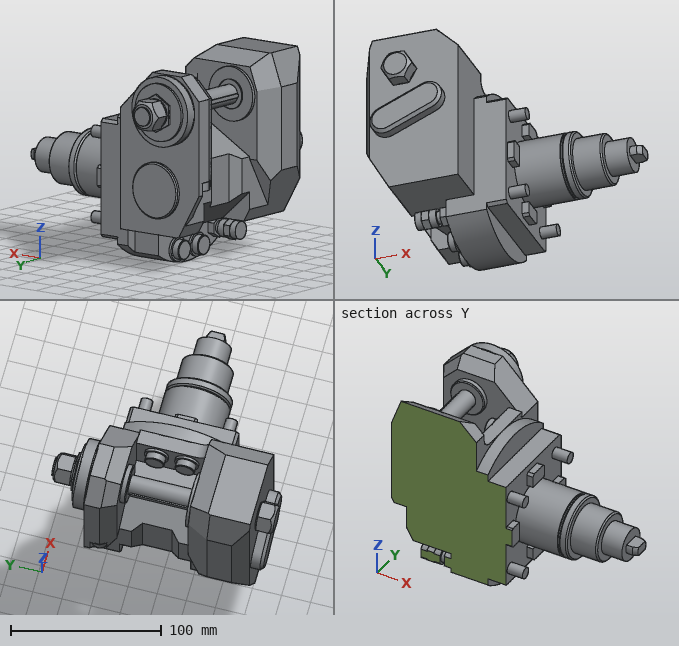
import cadquery as cq
import math


REAR_X = 0.0
BOTTOM_Z = -30.1
INNER_Y = 24.5
BEVEL_ANGLE = 30.0
FRONT_BEVEL_DEPTH = 15.1

MOTOR_ARM_OUTER_Y = -67.2
MOTOR_ARM_TOP_Z = 83.0
MOTOR_ARM_FRONT_X = -68.8
MOTOR_ARM_TOP_BEVEL_DEPTH = 13.7
MOTOR_ARM_OUTER_BEVEL_DEPTH = 10.5
MOTOR_ARM_TOP_FRONT_X = -60.7
MOTOR_ARM_BROW_Z = 60.9
MOTOR_ARM_TOP_REAR_X = -15.3
MOTOR_ARM_SHOULDER_Z = 68.3

SUPPORT_ARM_OUTER_Y = 45.4
SUPPORT_ARM_TOP_Z = 79.4
SUPPORT_ARM_FRONT_X = -66.4
SUPPORT_ARM_FRONT_BEVEL_DEPTH = 10.2
SUPPORT_ARM_BROW_BEVEL_DEPTH = 9.3
SUPPORT_ARM_TOP_BEVEL_DEPTH = 10.5
SUPPORT_ARM_TOP_FRONT_X = -51.4
SUPPORT_ARM_TOP_REAR_X = -27.1

CHIN_Z = 4.5
CHIN_BOTTOM_X = -49.1
CHIN_SLOPE = (CHIN_Z - BOTTOM_Z) / (CHIN_BOTTOM_X - MOTOR_ARM_FRONT_X)

SLOT_X = -60.5
SLOT_Y = 35.9
SLOT_RADIUS = 5.5
SLOT_TOP_Z = 8.6
PLUG_BOTTOM_Z = 2.6

WEB_FRONT_X = -54.0
WEB_FRONT_TOP_Z = 14.3
WEB_FRONT_BOTTOM_Z = -9.5
WEB_FLOOR_Z = 30.3
WEB_TOP_ANGLE = 30.0
WEB_UNDERSIDE_ANGLE = 42.0
SPLAY_TOP_Z = 12.7
SPLAY_ANGLE = 60.0
SADDLE_WIDTH = 32.4
SADDLE_DEPTH = 6.2

SEAT_FRONT_X = -10.0
CORNER_RADIUS = 8.0

FLANGE_RADIUS = 56.8
FLANGE_HALF_WIDTH = 37.3
FLANGE_REAR_X = 9.0
PAD_FRONT_X = -19.9
PAD_LEFT_Y = 29.7
PLATE_REAR_X = 22.9
PLATE_HEIGHT = 80.3
PLATE_CHAMFER = 2.1

BOLT_Y = 10.4
BOLT_Z = 46.8
BOLT_HEAD_RADIUS = 6.7
BOLT_HEAD_LENGTH = 6.9
BOLT_HEAD_CHAMFER = 0.5
BOLT_WASHER_RADIUS = 8.1
BOLT_WASHER_THICKNESS = 1.8
PIN_SPACING = 58.0
PIN_RADIUS = 4.0
PIN_END_X = 34.7
KEY_END_X = 27.6
KEY_WIDTH = 15.1
KEY_INNER_REACH = 25.2
KEY_OUTER_REACH = 35.2
KEY_CHAMFER = 1.8

FITTING_Y = -29.2
FITTING_Z = -37.8
FITTING_FLATS = 12.1
FITTING_NECK_RADIUS = 4.4
FITTING_FRONT_X = -43.0
FITTING_NUT_FRONT_X = -38.2
FITTING_NUT_REAR_X = -33.0
FITTING_NECK_FRONT_X = -28.0
FITTING_BASE_FRONT_X = -25.0

SHANK_RADIUS = 22.5
SHANK_END_X = 55.3
GROOVE_RADIUS = 21.5
GROOVE_END_X = 56.3
RIM_END_X = 62.5
NECK_RADIUS = 17.6
NECK_END_X = 82.9
SHANK_CHAMFER = 1.0
TIP_RADIUS = 11.8
TIP_END_X = 98.7
TANG_END_X = 107.2
TANG_RADIUS = 6.7
TANG_THICKNESS = 6.7
TANG_CHAMFER_LENGTH = 3.5
TANG_CHAMFER_DEPTH = 1.4

ARBOR_X = -40.0
ARBOR_Z = 55.5
ARBOR_RADIUS = 6.7
HEX_FLATS = 19.2
HEX_TIP_RADIUS = 8.1
HEX_CONE_LENGTH = 2.6
BOLT_HEAD_Y = -68.1
BOLT_END_Y = -79.5
NUT_BASE_Y = 59.7
NUT_END_Y = 71.6
STUD_END_Y = 72.9
LOCK_WASHER_FLATS = 22.4
LOCK_WASHER_SIDES_Y = (57.2, 58.5)
BUSHING_FACE_Y = 20.6
BUSHING_RADIUS = 13.0
BUSHING_CHAMFER = 0.7
ARBOR_COLLARS = (
    (BOLT_HEAD_Y, MOTOR_ARM_OUTER_Y, 9.2),
    (-INNER_Y, -22.2, 18.5),
    (-22.2, -21.1, 10.0),
    (SUPPORT_ARM_OUTER_Y, 46.5, 22.9),
    (46.5, 53.9, 23.5),
    (53.9, 55.6, 19.5),
    (55.6, NUT_BASE_Y, 9.9),
    (NUT_END_Y, STUD_END_Y, 6.3),
)
ARBOR_KEY_WIDTH = 2.8
ARBOR_KEY_END_RADIUS = 1.2
ARBOR_KEY_FRONT_X = -47.5
ARBOR_KEY_ENDS_Y = (-20.8, 19.0)

COVER_RADIUS = 10.0
COVER_OUTER_Y = -75.7
COVER_CHAMFER = 2.1
COVER_LOW_END = (-50.0, 18.0)
COVER_HIGH_END = (-19.4, 30.6)
CAP_X = -30.8
CAP_RADIUS = 19.0
CAP_OUTER_Y = 48.0
CAP_CHAMFER = 0.9

FAR = 352.0


def box(x_range, y_range, z_range):
    sizes = [high - low for low, high in (x_range, y_range, z_range)]
    corner = (x_range[0], y_range[0], z_range[0])
    return cq.Workplane("XY").box(*sizes, centered=False).translate(corner)


def cylinder_x(x_start, x_end, radius, y=0.0, z=0.0):
    return cq.Workplane("YZ", origin=(x_start, y, z)).circle(radius).extrude(x_end - x_start)


def cylinder_y(y_start, y_end, radius, x=ARBOR_X, z=ARBOR_Z):
    return cq.Workplane("XZ", origin=(x, y_end, z)).circle(radius).extrude(y_end - y_start)


def cylinder_z(z_start, z_end, radius, x, y):
    return cq.Workplane("XY", origin=(x, y, z_start)).circle(radius).extrude(z_end - z_start)


def hexagon_y(y_start, y_end, across_flats, turn=0.0):
    corner_diameter = across_flats / math.cos(math.radians(30))
    prism = cq.Workplane("XZ").polygon(6, corner_diameter).extrude(y_start - y_end)
    return prism.rotate((0, 0, 0), (0, 1, 0), turn).translate((ARBOR_X, y_start, ARBOR_Z))


def prism_y(points, y_start, y_end):
    return cq.Workplane("XZ", origin=(0, y_end, 0)).polyline(points).close().extrude(y_end - y_start)


def trim(solid, point, normal):
    """Remove everything beyond the plane through point, on the side normal points to."""
    plane = cq.Plane(origin=point, normal=normal)
    return solid.cut(cq.Workplane(plane).rect(2 * FAR, 2 * FAR).extrude(FAR))


def bevel_edge(solid, start, end, face_y, depth):
    """Bevel the edge from start to end, points (x, z) in clockwise order, next to the face at face_y.

    The bevel begins depth short of that face; a positive depth bevels a +Y face.
    """
    length = math.dist(start, end)
    out_x = -(end[1] - start[1]) / length
    out_z = (end[0] - start[0]) / length
    lean = math.radians(BEVEL_ANGLE)
    normal = (out_x * math.cos(lean), math.copysign(math.sin(lean), depth), out_z * math.cos(lean))
    return trim(solid, (start[0], face_y - depth, start[1]), normal)


def chin_z(x):
    return CHIN_Z - CHIN_SLOPE * (x - MOTOR_ARM_FRONT_X)


def motor_arm():
    chin = (MOTOR_ARM_FRONT_X, CHIN_Z)
    brow = (MOTOR_ARM_FRONT_X, MOTOR_ARM_BROW_Z)
    top_front = (MOTOR_ARM_TOP_FRONT_X, MOTOR_ARM_TOP_Z)
    top_rear = (MOTOR_ARM_TOP_REAR_X, MOTOR_ARM_TOP_Z)
    rear = [(REAR_X, MOTOR_ARM_SHOULDER_Z), (REAR_X, BOTTOM_Z), (CHIN_BOTTOM_X, BOTTOM_Z)]
    arm = prism_y([chin, brow, top_front, top_rear] + rear, MOTOR_ARM_OUTER_Y, -INNER_Y)
    arm = bevel_edge(arm, chin, brow, -INNER_Y, FRONT_BEVEL_DEPTH)
    arm = bevel_edge(arm, brow, top_front, -INNER_Y, FRONT_BEVEL_DEPTH)
    arm = bevel_edge(arm, top_front, top_rear, -INNER_Y, MOTOR_ARM_TOP_BEVEL_DEPTH)
    return bevel_edge(arm, chin, brow, MOTOR_ARM_OUTER_Y, -MOTOR_ARM_OUTER_BEVEL_DEPTH)


def support_arm():
    front_drop = SUPPORT_ARM_TOP_FRONT_X - SUPPORT_ARM_FRONT_X
    rear_drop = REAR_X - SUPPORT_ARM_TOP_REAR_X
    chin = (SUPPORT_ARM_FRONT_X, chin_z(SUPPORT_ARM_FRONT_X))
    brow = (SUPPORT_ARM_FRONT_X, SUPPORT_ARM_TOP_Z - front_drop)
    top_front = (SUPPORT_ARM_TOP_FRONT_X, SUPPORT_ARM_TOP_Z)
    top_rear = (SUPPORT_ARM_TOP_REAR_X, SUPPORT_ARM_TOP_Z)
    rear = [(REAR_X, SUPPORT_ARM_TOP_Z - rear_drop), (REAR_X, BOTTOM_Z), (CHIN_BOTTOM_X, BOTTOM_Z)]
    arm = prism_y([chin, brow, top_front, top_rear] + rear, INNER_Y, SUPPORT_ARM_OUTER_Y)
    arm = bevel_edge(arm, chin, brow, INNER_Y, -SUPPORT_ARM_FRONT_BEVEL_DEPTH)
    arm = bevel_edge(arm, brow, top_front, INNER_Y, -SUPPORT_ARM_BROW_BEVEL_DEPTH)
    arm = bevel_edge(arm, top_front, top_rear, INNER_Y, -SUPPORT_ARM_TOP_BEVEL_DEPTH)
    slot_sides = (SLOT_Y - SLOT_RADIUS, SLOT_Y + SLOT_RADIUS)
    arm = arm.cut(box((-FAR, SLOT_X), slot_sides, (BOTTOM_Z, SLOT_TOP_Z)))
    arm = arm.cut(cylinder_z(BOTTOM_Z, SLOT_TOP_Z, SLOT_RADIUS, SLOT_X, SLOT_Y))
    return arm.union(cylinder_z(PLUG_BOTTOM_Z, SLOT_TOP_Z, SLOT_RADIUS, SLOT_X, SLOT_Y))


def splay_cutter():
    """Widening gap between the arms in front of the web."""
    drop = SPLAY_TOP_Z - BOTTOM_Z
    spread = INNER_Y + drop / math.tan(math.radians(SPLAY_ANGLE))
    outline = [(-INNER_Y, SPLAY_TOP_Z), (INNER_Y, SPLAY_TOP_Z), (spread, BOTTOM_Z), (-spread, BOTTOM_Z)]
    return cq.Workplane("YZ", origin=(WEB_FRONT_X, 0, 0)).polyline(outline).close().extrude(-FAR)


def corner_fillet(x_start, floor_z):
    """Concave fillet between a floor and the motor arm's inner face, running to the rear face."""
    return (
        cq.Workplane("YZ", origin=(x_start, 0, 0))
        .moveTo(-INNER_Y, floor_z)
        .lineTo(-INNER_Y + CORNER_RADIUS, floor_z)
        .radiusArc((-INNER_Y, floor_z + CORNER_RADIUS), CORNER_RADIUS)
        .close()
        .extrude(REAR_X - x_start)
    )


def web():
    body = box((WEB_FRONT_X, REAR_X), (-INNER_Y, INNER_Y), (BOTTOM_Z, WEB_FLOOR_Z))
    body = body.union(corner_fillet(WEB_FRONT_X, WEB_FLOOR_Z))
    rise = math.radians(WEB_TOP_ANGLE)
    body = trim(body, (WEB_FRONT_X, 0, WEB_FRONT_TOP_Z), (-math.sin(rise), 0, math.cos(rise)))
    fall = math.radians(WEB_UNDERSIDE_ANGLE)
    body = trim(body, (WEB_FRONT_X, 0, WEB_FRONT_BOTTOM_Z), (-math.sin(fall), 0, -math.cos(fall)))
    mouth = SADDLE_WIDTH / 2
    floor = mouth - SADDLE_DEPTH
    back_x = WEB_FRONT_X + SADDLE_DEPTH
    outline = [(WEB_FRONT_X, -mouth), (back_x, -floor), (back_x, floor), (WEB_FRONT_X, mouth)]
    return body.cut(cq.Workplane("XY").polyline(outline).close().extrude(FAR, both=True))


def seat():
    """Bolting wall between the arms, above the web."""
    wall = box((SEAT_FRONT_X, REAR_X), (-INNER_Y, INNER_Y), (WEB_FLOOR_Z, FLANGE_RADIUS))
    return wall.union(corner_fillet(SEAT_FRONT_X, FLANGE_RADIUS))


def flange():
    sides = box((-FAR, FAR), (-FLANGE_HALF_WIDTH, FLANGE_HALF_WIDTH), (-FAR, FAR))
    disc = cylinder_x(REAR_X, FLANGE_REAR_X, FLANGE_RADIUS).intersect(sides)
    pad_space = box((-FAR, FAR), (-FLANGE_HALF_WIDTH, PAD_LEFT_Y), (-FAR, BOTTOM_Z))
    pad = cylinder_x(PAD_FRONT_X, REAR_X, FLANGE_RADIUS).intersect(pad_space)
    plate = (
        cq.Workplane("YZ", origin=(FLANGE_REAR_X, 0, 0))
        .rect(2 * FLANGE_HALF_WIDTH, PLATE_HEIGHT)
        .extrude(PLATE_REAR_X - FLANGE_REAR_X)
        .edges("|X")
        .chamfer(PLATE_CHAMFER)
    )
    return disc.union(pad).union(plate)


def bolt(face_x, y, z):
    head_x = face_x - BOLT_WASHER_THICKNESS
    washer = cylinder_x(head_x, face_x, BOLT_WASHER_RADIUS, y, z)
    head = cylinder_x(face_x - BOLT_HEAD_LENGTH, head_x, BOLT_HEAD_RADIUS, y, z)
    return washer.union(head.faces("<X").chamfer(BOLT_HEAD_CHAMFER))


def drive_key(turn):
    """Key on the rear of the plate, turned about the shank axis."""
    key = (
        box((PLATE_REAR_X, KEY_END_X), (-KEY_WIDTH / 2, KEY_WIDTH / 2), (KEY_INNER_REACH, KEY_OUTER_REACH))
        .edges("|X and >Z")
        .chamfer(KEY_CHAMFER)
    )
    return key.rotate((0, 0, 0), (1, 0, 0), turn)


def shank():
    body = cylinder_x(PLATE_REAR_X, SHANK_END_X, SHANK_RADIUS)
    body = body.union(cylinder_x(SHANK_END_X, GROOVE_END_X, GROOVE_RADIUS))
    rim = cylinder_x(GROOVE_END_X, RIM_END_X, SHANK_RADIUS)
    body = body.union(rim.faces("<X or >X").chamfer(SHANK_CHAMFER))
    neck = cylinder_x(RIM_END_X, NECK_END_X, NECK_RADIUS)
    body = body.union(neck.faces(">X").chamfer(SHANK_CHAMFER))
    body = body.union(cylinder_x(NECK_END_X, TIP_END_X, TIP_RADIUS))
    tang = cylinder_x(TIP_END_X, TANG_END_X, TANG_RADIUS)
    tang = tang.faces(">X").chamfer(TANG_CHAMFER_LENGTH, TANG_CHAMFER_DEPTH)
    flats = box((TIP_END_X, TANG_END_X), (-FAR, FAR), (-TANG_THICKNESS / 2, TANG_THICKNESS / 2))
    return body.union(tang.intersect(flats))


def fitting():
    def round_part(x_start, x_end, radius):
        return cylinder_x(x_start, x_end, radius, FITTING_Y, FITTING_Z)

    def hex_part(x_start, x_end):
        corner_diameter = FITTING_FLATS / math.cos(math.radians(30))
        prism = cq.Workplane("YZ").polygon(6, corner_diameter).extrude(x_end - x_start)
        return prism.rotate((0, 0, 0), (1, 0, 0), 30).translate((x_start, FITTING_Y, FITTING_Z))

    body = round_part(FITTING_FRONT_X, FITTING_NECK_FRONT_X, FITTING_FLATS / 2)
    body = body.union(hex_part(FITTING_NUT_FRONT_X, FITTING_NUT_REAR_X))
    neck = round_part(FITTING_NECK_FRONT_X, FITTING_BASE_FRONT_X, FITTING_NECK_RADIUS)
    body = body.union(neck)
    return body.union(hex_part(FITTING_BASE_FRONT_X, PAD_FRONT_X))


def coned_hexagon(base_y, end_y):
    """Hexagon with the corners of its free end turned to a cone."""
    direction = math.copysign(1.0, end_y - base_y)
    low, high = sorted((base_y, end_y))
    corner_radius = HEX_FLATS / 2 / math.cos(math.radians(30))
    end_face = ">Y" if direction > 0 else "<Y"
    turned = cylinder_y(low, high, corner_radius).faces(end_face)
    lengths = (HEX_CONE_LENGTH, corner_radius - HEX_TIP_RADIUS)
    return hexagon_y(low, high, HEX_FLATS).intersect(turned.chamfer(*lengths))


def arbor():
    body = cylinder_y(-INNER_Y, INNER_Y, ARBOR_RADIUS)
    key_z = (ARBOR_Z - ARBOR_KEY_WIDTH / 2, ARBOR_Z + ARBOR_KEY_WIDTH / 2)
    key = box((ARBOR_KEY_FRONT_X, ARBOR_X), ARBOR_KEY_ENDS_Y, key_z)
    body = body.union(key.edges("|X and <Y").fillet(ARBOR_KEY_END_RADIUS))
    bushing = cylinder_y(BUSHING_FACE_Y, INNER_Y, BUSHING_RADIUS)
    body = body.union(bushing.faces("<Y").chamfer(BUSHING_CHAMFER))
    for y_start, y_end, radius in ARBOR_COLLARS:
        body = body.union(cylinder_y(y_start, y_end, radius))
    body = body.union(hexagon_y(*LOCK_WASHER_SIDES_Y, LOCK_WASHER_FLATS, turn=30))
    body = body.union(coned_hexagon(NUT_BASE_Y, NUT_END_Y))
    return body.union(coned_hexagon(BOLT_HEAD_Y, BOLT_END_Y))


def motor_cover():
    """Slanted obround cover on the motor arm."""
    run = COVER_HIGH_END[0] - COVER_LOW_END[0]
    rise = COVER_HIGH_END[1] - COVER_LOW_END[1]
    middle_x = (COVER_LOW_END[0] + COVER_HIGH_END[0]) / 2
    middle_z = (COVER_LOW_END[1] + COVER_HIGH_END[1]) / 2
    length = math.hypot(run, rise) + 2 * COVER_RADIUS
    return (
        cq.Workplane("XZ", origin=(middle_x, MOTOR_ARM_OUTER_Y, middle_z))
        .slot2D(length, 2 * COVER_RADIUS, math.degrees(math.atan2(rise, run)))
        .extrude(MOTOR_ARM_OUTER_Y - COVER_OUTER_Y)
        .faces("<Y")
        .chamfer(COVER_CHAMFER)
    )


def support_cap():
    cap = cylinder_y(SUPPORT_ARM_OUTER_Y, CAP_OUTER_Y, CAP_RADIUS, CAP_X, 0.0)
    return cap.faces(">Y").chamfer(CAP_CHAMFER)


result = motor_arm().union(support_arm()).cut(splay_cutter())
for section in (web(), seat(), flange(), shank(), fitting(), arbor(), motor_cover(), support_cap()):
    result = result.union(section)
for bolt_y in (-BOLT_Y, BOLT_Y):
    result = result.union(bolt(SEAT_FRONT_X, bolt_y, BOLT_Z))
    result = result.union(bolt(PAD_FRONT_X, bolt_y, -BOLT_Z))
pins = (
    cq.Workplane("YZ", origin=(PLATE_REAR_X, 0, 0))
    .rect(PIN_SPACING, PIN_SPACING, forConstruction=True)
    .vertices()
    .circle(PIN_RADIUS)
    .extrude(PIN_END_X - PLATE_REAR_X)
)
result = result.union(pins)
for quarter in range(4):
    result = result.union(drive_key(90 * quarter))